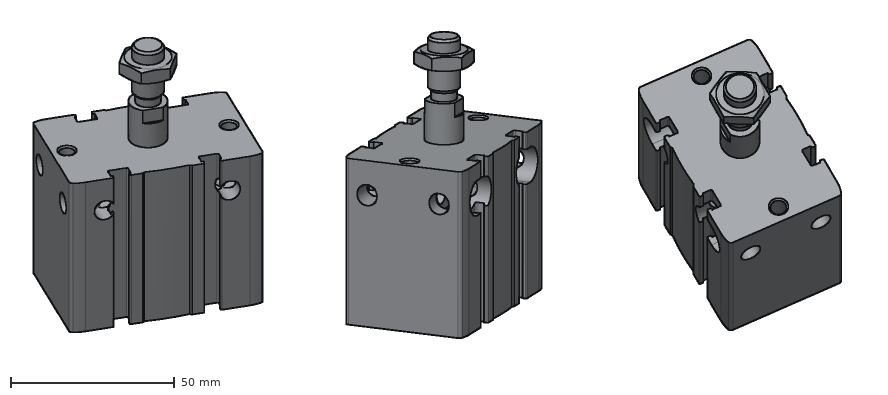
import cadquery as cq
import math

HOUSING_WIDTH = 40.0
HOUSING_LENGTH = 62.0
HOUSING_HEIGHT = 53.0
HALF_WIDTH = HOUSING_WIDTH / 2
HALF_LENGTH = HOUSING_LENGTH / 2

CORNER_RADIUS = 1.2
WIDE_ARC_RADIUS = 12.5
WIDE_ARC_START = 26.4

RELIEF_MOUTH_HALF_LENGTH = 7.9
RELIEF_FLOOR_HALF_LENGTH = 7.2
RELIEF_DEPTH = 0.47
RELIEF_BULGE = 0.35

SLOT_OFFSET = 14.5
SLOT_MOUTH_WIDTH = 5.2
SLOT_INNER_WIDTH = 6.45
SLOT_DEPTH = 4.6
LIP_THICKNESS = 1.5
LIP_RADIUS = 0.35
SLOT_CORNER_RADIUS = 0.5
EDGE_PICK_REACH = 0.01

MOUNT_HOLE_DIAMETER = 6.6
MOUNT_HOLE_HEIGHT = 42.0
END_HOLE_OFFSET = 12
SIDE_HOLE_OFFSET = 20.0

RECESS_WIDTH = 11.2
RECESS_TRAVEL = 5.0
RECESS_DEPTH = 12

TOP_HOLE_DIAMETER = 4.9
TOP_HOLE_MOUTH_DIAMETER = 6
TOP_HOLE_OFFSET = 26.0
TOP_HOLE_DEPTH = 10.3
TOP_HOLE_TIP_ANGLE = 118

ROD_DIAMETER = 12
THREAD_DIAMETER = 10.0
NECK_DIAMETER = 8.0
ROD_TIP_DIAMETER = 8.6
ROD_TOP = 86
SHOULDER_HEIGHT = 66.05
NECK_TOP = 68.7
THREAD_BOTTOM = 69.75
TIP_CHAMFER_HEIGHT = 0.9
FLAT_BOTTOM = 61.5
ACROSS_ROD_FLATS = 10.15

NUT_ACROSS_FLATS = 16.0
NUT_HEIGHT = 5.0
NUT_BOTTOM = 76.7
NUT_FACE_DIAMETER = 14.6
NUT_CHAMFER_ANGLE = 18


def housing_block():
    """Rectangular block with the two-stage rounding on its four upright edges."""
    wide_center_x = HALF_WIDTH - WIDE_ARC_RADIUS
    small_center_y = HALF_LENGTH - CORNER_RADIUS
    reach = WIDE_ARC_RADIUS - CORNER_RADIUS
    angle = math.asin((small_center_y - WIDE_ARC_START) / reach)
    small_center_x = wide_center_x + reach * math.cos(angle)

    def wide_point(turn):
        return (
            wide_center_x + WIDE_ARC_RADIUS * math.cos(turn),
            WIDE_ARC_START + WIDE_ARC_RADIUS * math.sin(turn),
        )

    middle = (angle + math.pi / 2) / 2
    small_middle = (
        small_center_x + CORNER_RADIUS * math.cos(middle),
        small_center_y + CORNER_RADIUS * math.sin(middle),
    )
    quarter = (
        cq.Workplane("XY")
        .lineTo(HALF_WIDTH, 0)
        .lineTo(HALF_WIDTH, WIDE_ARC_START)
        .threePointArc(wide_point(angle / 2), wide_point(angle))
        .threePointArc(small_middle, (small_center_x, HALF_LENGTH))
        .lineTo(0, HALF_LENGTH)
        .close()
        .extrude(HOUSING_HEIGHT)
    )
    half = quarter.union(quarter.mirror("XZ"))
    return half.union(half.mirror("YZ")).clean()


def side_relief():
    """Material removed from the middle of the -X side face."""
    floor_x = RELIEF_DEPTH - HALF_WIDTH
    return (
        cq.Workplane("XY")
        .moveTo(-HALF_WIDTH, -RELIEF_MOUTH_HALF_LENGTH)
        .lineTo(floor_x, -RELIEF_FLOOR_HALF_LENGTH)
        .threePointArc((floor_x - RELIEF_BULGE, 0), (floor_x, RELIEF_FLOOR_HALF_LENGTH))
        .lineTo(-HALF_WIDTH, RELIEF_MOUTH_HALF_LENGTH)
        .close()
        .extrude(HOUSING_HEIGHT)
    )


def side_slot():
    """Material removed for the T-slot of the -X side face at +Y."""
    mouth = (
        cq.Workplane("XY")
        .box(LIP_THICKNESS, SLOT_MOUTH_WIDTH, HOUSING_HEIGHT, centered=(False, True, False))
        .translate((-HALF_WIDTH, SLOT_OFFSET, 0))
    )
    inner = (
        cq.Workplane("XY")
        .box(SLOT_DEPTH - LIP_THICKNESS, SLOT_INNER_WIDTH, HOUSING_HEIGHT, centered=(False, True, False))
        .translate((LIP_THICKNESS - HALF_WIDTH, SLOT_OFFSET, 0))
    )
    return mouth.union(inner)


def round_upright_edges(body, x, y, radius):
    """Round the upright edges at (x, y) and at its mirror images about both center planes."""
    for edge_x in (-x, x):
        for edge_y in (-y, y):
            picker = cq.selectors.BoxSelector(
                (edge_x - EDGE_PICK_REACH, edge_y - EDGE_PICK_REACH, -EDGE_PICK_REACH),
                (edge_x + EDGE_PICK_REACH, edge_y + EDGE_PICK_REACH, HOUSING_HEIGHT + EDGE_PICK_REACH),
            )
            body = body.edges("|Z").edges(picker).fillet(radius)
    return body


def round_slots(body):
    """Round the lips and the floor corners of all four T-slots."""
    for side in (-1, 1):
        lip_y = SLOT_OFFSET + side * SLOT_MOUTH_WIDTH / 2
        corner_y = SLOT_OFFSET + side * SLOT_INNER_WIDTH / 2
        body = round_upright_edges(body, HALF_WIDTH, lip_y, LIP_RADIUS)
        body = round_upright_edges(body, HALF_WIDTH - LIP_THICKNESS, lip_y, LIP_RADIUS)
        body = round_upright_edges(body, HALF_WIDTH - SLOT_DEPTH, corner_y, SLOT_CORNER_RADIUS)
    return body


def mount_holes():
    """Through holes along X and along Y."""
    end_holes = (
        cq.Workplane("XZ", origin=(0, 0, MOUNT_HOLE_HEIGHT))
        .pushPoints([(-END_HOLE_OFFSET, 0), (END_HOLE_OFFSET, 0)])
        .circle(MOUNT_HOLE_DIAMETER / 2)
        .extrude(HALF_LENGTH, both=True)
    )
    side_holes = (
        cq.Workplane("YZ", origin=(0, 0, MOUNT_HOLE_HEIGHT))
        .pushPoints([(-SIDE_HOLE_OFFSET, 0), (SIDE_HOLE_OFFSET, 0)])
        .circle(MOUNT_HOLE_DIAMETER / 2)
        .extrude(HALF_WIDTH, both=True)
    )
    return end_holes.union(side_holes)


def side_recesses():
    """Oblong recesses in the -X face, reaching from the side holes toward the rod."""
    center_y = SIDE_HOLE_OFFSET - RECESS_TRAVEL / 2
    return (
        cq.Workplane("YZ", origin=(-HALF_WIDTH, 0, MOUNT_HOLE_HEIGHT))
        .pushPoints([(-center_y, 0), (center_y, 0)])
        .slot2D(RECESS_TRAVEL + RECESS_WIDTH, RECESS_WIDTH)
        .extrude(RECESS_DEPTH)
    )


def top_hole(y):
    """Blind drilled hole with a conical tip and a 45 degree chamfered mouth."""
    radius = TOP_HOLE_DIAMETER / 2
    mouth_radius = TOP_HOLE_MOUTH_DIAMETER / 2
    tip_depth = radius / math.tan(math.radians(TOP_HOLE_TIP_ANGLE / 2))
    return (
        cq.Workplane("XZ")
        .lineTo(mouth_radius, 0)
        .lineTo(radius, radius - mouth_radius)
        .lineTo(radius, -TOP_HOLE_DEPTH)
        .lineTo(0, -TOP_HOLE_DEPTH - tip_depth)
        .close()
        .revolve()
        .translate((0, y, HOUSING_HEIGHT))
    )


def make_housing():
    relief = side_relief()
    slot = side_slot()
    side_cuts = relief.union(slot).union(slot.mirror("XZ"))
    body = housing_block().cut(side_cuts).cut(side_cuts.mirror("YZ"))
    body = round_slots(body)
    body = body.cut(mount_holes()).cut(side_recesses())
    for y in (-TOP_HOLE_OFFSET, TOP_HOLE_OFFSET):
        body = body.cut(top_hole(y))
    return body


def make_rod():
    """Stepped rod standing on the housing, with two wrench flats below the neck."""
    rod = (
        cq.Workplane("XZ")
        .moveTo(0, HOUSING_HEIGHT)
        .lineTo(ROD_DIAMETER / 2, HOUSING_HEIGHT)
        .lineTo(ROD_DIAMETER / 2, SHOULDER_HEIGHT)
        .lineTo(NECK_DIAMETER / 2, SHOULDER_HEIGHT)
        .lineTo(NECK_DIAMETER / 2, NECK_TOP)
        .lineTo(THREAD_DIAMETER / 2, THREAD_BOTTOM)
        .lineTo(THREAD_DIAMETER / 2, ROD_TOP - TIP_CHAMFER_HEIGHT)
        .lineTo(ROD_TIP_DIAMETER / 2, ROD_TOP)
        .lineTo(0, ROD_TOP)
        .close()
        .revolve()
    )
    flat_height = SHOULDER_HEIGHT - FLAT_BOTTOM
    for side in (-1, 1):
        flat_cut = (
            cq.Workplane("XY")
            .box(ROD_DIAMETER, ROD_DIAMETER, flat_height, centered=(True, True, False))
            .translate((side * (ACROSS_ROD_FLATS + ROD_DIAMETER) / 2, 0, FLAT_BOTTOM))
        )
        rod = rod.cut(flat_cut)
    return rod


def make_nut():
    """Hexagon nut with corners toward +Y and -Y, chamfered on both faces."""
    across_corners = NUT_ACROSS_FLATS / math.cos(math.pi / 6)
    corner_radius = across_corners / 2
    face_radius = NUT_FACE_DIAMETER / 2
    corner_drop = (corner_radius - face_radius) * math.tan(math.radians(NUT_CHAMFER_ANGLE))
    hexagon = (
        cq.Workplane("XY")
        .polygon(6, across_corners)
        .extrude(NUT_HEIGHT)
        .rotate((0, 0, 0), (0, 0, 1), 90)
    )
    chamfer_envelope = (
        cq.Workplane("XZ")
        .lineTo(face_radius, 0)
        .lineTo(corner_radius, corner_drop)
        .lineTo(corner_radius, NUT_HEIGHT - corner_drop)
        .lineTo(face_radius, NUT_HEIGHT)
        .lineTo(0, NUT_HEIGHT)
        .close()
        .revolve()
    )
    bore = cq.Workplane("XY").circle(THREAD_DIAMETER / 2).extrude(NUT_HEIGHT)
    return hexagon.intersect(chamfer_envelope).cut(bore).translate((0, 0, NUT_BOTTOM))


housing = make_housing()
rod = make_rod()
nut = make_nut()

result = cq.Compound.makeCompound([housing.val(), rod.val(), nut.val()])